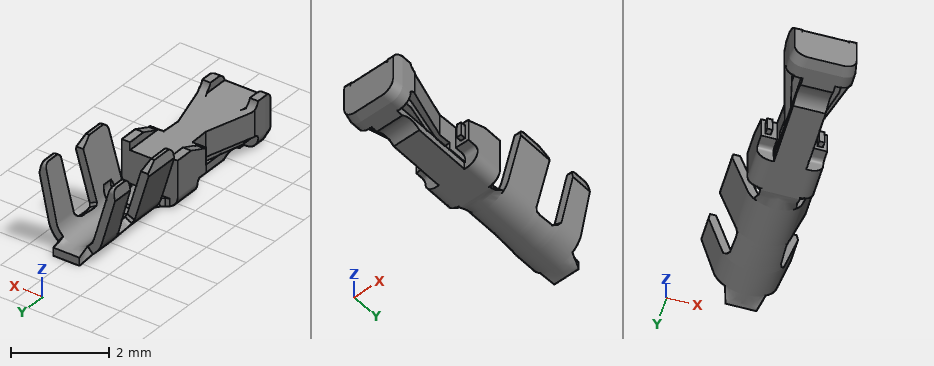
import cadquery as cq
import math


sheet = 0.20
total_length = 6.20

box_length = 3.30
box_half_width = 0.703
box_corner_radius = 0.30
block_height = 1.0
wall_height = 1.19
wall_inner_half_width = 0.495
front_wall_inner_half_width = 0.44
nose_length = 0.24
nose_inset = 0.045
nose_top_radius = 0.24
front_wall_end = 0.50
front_wall_foot = 0.74
rear_wall_end = 2.31
rear_slope_foot = 2.36
rear_slope_top = 2.83

waist_rear_half_width = 0.363
waist_half_width = 0.344
waist_y = 1.83
flare_end_y = 0.75
flare_half_width = 0.66
shoulder_y = 0.62

lower_cut_start = 0.50
lower_cut_end = 2.60
lower_cut_height = 0.39
lower_cut_radius = 0.10
recess_end = 2.13
recess_bend_y = 1.87
recess_half_width = 0.22
recess_front_half_width = 0.50
arch_start = 0.66
arch_end = 1.19
arch_height = 0.095

pip_length = 0.125
pip_outer_half_width = 0.61
pip_bottom = 0.505
pip_top = 0.89

insulation_start = 5.29
insulation_end = 5.88
insulation_radius = 0.69
insulation_lean = 14.8
insulation_height = 1.85
insulation_taper_z = 1.589
insulation_tip_x = 0.90
insulation_rear_setback = 0.07
insulation_tip_radius = 0.13

conductor_start = 3.705
conductor_end = 4.607
conductor_radius = 0.607
conductor_lean = 16.6
conductor_height = 1.79
conductor_taper_z = 1.547
conductor_tip_x = 0.86
conductor_tip_radius = 0.18
conductor_chamfer_length = 0.28
conductor_chamfer_height = 0.18

groove_center = 4.15
groove_bottom_width = 0.25
groove_top_width = 0.34
groove_depth = 0.047

tail_half_width = 0.329
tail_root_angle = 39
link_front_root_angle = 68
link_rear_root_angle = 67
link_step_angle = 60
link_front_angle = 57
link_rear_angle = 54
link_step_offset = 0.05
link_low_offset = 0.15
joint_half_width = 0.42
joint_flare_half_width = 0.50
joint_flare_length = 0.04
joint_bend_y = 3.50
joint_bend_radius = 1.20
joint_bend_angle = 20
joint_root_angle = 48

overlap = 0.02
big = 10.0


def on_plane_y(y):
    """Sketch plane at distance y along the part, local axes equal to global X and Z."""
    return cq.Workplane(cq.Plane(origin=(0, y, 0), xDir=(1, 0, 0), normal=(0, -1, 0)))


def side_prism(sketch):
    """Extrude a closed Y-Z sketch across the whole width."""
    return sketch.extrude(big / 2, both=True)


def box_between(x0, x1, y0, y1, z0, z1):
    return cq.Workplane("XY").box(x1 - x0, y1 - y0, z1 - z0, centered=False).translate((x0, y0, z0))


def mirrored_pair(solid):
    return solid.union(solid.mirror("YZ"))


def box_section(y, inset):
    """Square-topped section with two round lower corners."""
    half = box_half_width - inset
    r = box_corner_radius
    diagonal = r * (1 - math.sqrt(0.5))
    return (
        on_plane_y(y)
        .moveTo(-half, wall_height)
        .lineTo(-half, inset + r)
        .threePointArc((-half + diagonal, inset + diagonal), (-half + r, inset))
        .lineTo(half - r, inset)
        .threePointArc((half - diagonal, inset + diagonal), (half, inset + r))
        .lineTo(half, wall_height)
        .close()
    )


def loft_between(first, second):
    wires = [first.wires().val(), second.wires().val()]
    return cq.Workplane(cq.Solid.makeLoft(wires, True))


def box_side_outline():
    """Side profile with the raised front and rear wall tops."""
    arc_mid = nose_top_radius * (1 - math.sqrt(0.5))
    outline = (
        cq.Workplane("YZ")
        .moveTo(box_length, 0)
        .lineTo(box_length, wall_height)
        .lineTo(rear_slope_top, wall_height)
        .lineTo(rear_slope_foot, block_height)
        .lineTo(front_wall_foot, block_height)
        .tangentArcPoint((front_wall_end, wall_height), relative=False)
        .lineTo(nose_top_radius, wall_height)
        .threePointArc((arc_mid, wall_height - arc_mid), (0, wall_height - nose_top_radius))
        .lineTo(0, 0)
        .close()
    )
    return side_prism(outline)


def nose_core():
    """Square upper front edge of the block between the rounded front walls."""
    half = wall_inner_half_width
    return box_between(-half, half, 0, nose_length, box_corner_radius, block_height)


def waist_cut():
    """Material removed beside the waist on the +X side, full height."""
    outline = (
        cq.Workplane("XY")
        .moveTo(big, rear_wall_end)
        .lineTo(waist_rear_half_width, rear_wall_end)
        .lineTo(waist_half_width, waist_y)
        .lineTo(flare_half_width, flare_end_y)
        .lineTo(box_half_width, shoulder_y)
        .lineTo(big, shoulder_y)
        .close()
    )
    return outline.extrude(wall_height)


def lower_edge_cut():
    """Clearance on the +X side, beside the floor strip and under the waist above it."""
    floor_side = box_between(waist_half_width, big, lower_cut_start, lower_cut_end, -overlap, sheet)
    outline = (
        cq.Workplane("XY", origin=(0, 0, sheet))
        .moveTo(big, lower_cut_end)
        .lineTo(waist_rear_half_width, lower_cut_end)
        .lineTo(waist_rear_half_width, recess_end)
        .lineTo(recess_half_width, recess_end)
        .lineTo(recess_half_width, recess_bend_y)
        .lineTo(recess_front_half_width, flare_end_y)
        .lineTo(recess_front_half_width, lower_cut_start)
        .lineTo(big, lower_cut_start)
        .close()
    )
    under_waist = outline.extrude(lower_cut_height - sheet)
    window = box_between(0, big, lower_cut_start, lower_cut_end, -overlap, lower_cut_height)
    window = window.edges("|X and >Z").fillet(lower_cut_radius)
    return floor_side.union(under_waist).intersect(window)


def top_channel():
    """Space between the raised wall tops, narrowing with the flare behind the front walls."""
    outline = (
        cq.Workplane("XY", origin=(0, 0, block_height))
        .moveTo(0, -overlap)
        .lineTo(wall_inner_half_width, -overlap)
        .lineTo(wall_inner_half_width, shoulder_y)
        .lineTo(front_wall_inner_half_width, flare_end_y)
        .lineTo(wall_inner_half_width, flare_end_y)
        .lineTo(wall_inner_half_width, box_length + overlap)
        .lineTo(0, box_length + overlap)
        .close()
    )
    return mirrored_pair(outline.extrude(wall_height))


def floor_arch():
    outline = (
        cq.Workplane("YZ")
        .moveTo(arch_start, 0)
        .threePointArc(((arch_start + arch_end) / 2, arch_height), (arch_end, 0))
        .close()
    )
    return side_prism(outline)


def contact_box():
    nose = loft_between(box_section(0, nose_inset), box_section(nose_length, 0))
    body = box_section(nose_length, 0).extrude(nose_length - box_length)
    body = body.union(nose).intersect(box_side_outline())
    body = body.cut(top_channel()).union(nose_core())
    body = body.cut(mirrored_pair(waist_cut()))
    body = body.cut(mirrored_pair(lower_edge_cut()))
    body = body.cut(floor_arch())
    pip = box_between(
        wall_inner_half_width, pip_outer_half_width,
        rear_wall_end - pip_length, rear_wall_end + overlap,
        pip_bottom, pip_top,
    )
    return body.union(mirrored_pair(pip))


def barrel_profile(y, radius, lean, height, taper_z, tip_x):
    """U section: round floor, straight leaning wings, outside thinned at the tips."""
    cos_lean = math.cos(math.radians(lean))
    sin_lean = math.sin(math.radians(lean))
    slope = sin_lean / cos_lean
    inner = radius - sheet
    outer_x = radius * cos_lean
    outer_z = radius * (1 - sin_lean)
    inner_x = inner * cos_lean
    inner_z = radius - inner * sin_lean
    taper_x = outer_x + (taper_z - outer_z) * slope
    tip_inner_x = inner_x + (height - inner_z) * slope
    return (
        on_plane_y(y)
        .moveTo(-outer_x, outer_z)
        .threePointArc((0, 0), (outer_x, outer_z))
        .lineTo(taper_x, taper_z)
        .lineTo(tip_x, height)
        .lineTo(tip_inner_x, height)
        .lineTo(inner_x, inner_z)
        .threePointArc((0, sheet), (-inner_x, inner_z))
        .lineTo(-tip_inner_x, height)
        .lineTo(-tip_x, height)
        .lineTo(-taper_x, taper_z)
        .close()
    )


def insulation_barrel():
    barrel = barrel_profile(
        insulation_start, insulation_radius, insulation_lean,
        insulation_height, insulation_taper_z, insulation_tip_x,
    ).extrude(insulation_start - insulation_end)
    lean_foot_z = insulation_radius * (1 - math.sin(math.radians(insulation_lean)))
    outline = side_prism(
        cq.Workplane("YZ")
        .moveTo(insulation_start, 0)
        .lineTo(insulation_start, insulation_height)
        .lineTo(insulation_end - insulation_rear_setback, insulation_height)
        .lineTo(insulation_end, lean_foot_z)
        .lineTo(insulation_end, 0)
        .close()
    )
    return barrel.intersect(outline.edges("|X and >Z").fillet(insulation_tip_radius))


def serration_groove():
    inner = conductor_radius - sheet
    half_bottom = groove_bottom_width / 2
    half_top = groove_top_width / 2
    outline = (
        cq.Workplane("YZ", origin=(0, groove_center, conductor_radius))
        .moveTo(-half_top, 0)
        .lineTo(-half_top, -inner)
        .lineTo(-half_bottom, -inner - groove_depth)
        .lineTo(half_bottom, -inner - groove_depth)
        .lineTo(half_top, -inner)
        .lineTo(half_top, 0)
        .close()
    )
    return outline.revolve(360, (0, 0, 0), (1, 0, 0))


def conductor_barrel():
    barrel = barrel_profile(
        conductor_start, conductor_radius, conductor_lean,
        conductor_height, conductor_taper_z, conductor_tip_x,
    ).extrude(conductor_start - conductor_end)
    tip_mid = conductor_tip_radius * (1 - math.sqrt(0.5))
    outline = side_prism(
        cq.Workplane("YZ")
        .moveTo(conductor_start, 0)
        .lineTo(conductor_start, conductor_height - conductor_tip_radius)
        .threePointArc(
            (conductor_start + tip_mid, conductor_height - tip_mid),
            (conductor_start + conductor_tip_radius, conductor_height),
        )
        .lineTo(conductor_end - conductor_chamfer_length, conductor_height)
        .lineTo(conductor_end, conductor_height - conductor_chamfer_height)
        .lineTo(conductor_end, 0)
        .close()
    )
    return barrel.intersect(outline).cut(serration_groove())


def trough_section(y, radius, half_angle):
    """Curved sheet section reaching half_angle degrees either side of the bottom, edges radial."""
    sin_a = math.sin(math.radians(half_angle))
    cos_a = math.cos(math.radians(half_angle))
    inner = radius - sheet
    return (
        on_plane_y(y)
        .moveTo(-radius * sin_a, radius - radius * cos_a)
        .threePointArc((0, 0), (radius * sin_a, radius - radius * cos_a))
        .lineTo(inner * sin_a, radius - inner * cos_a)
        .threePointArc((0, sheet), (-inner * sin_a, radius - inner * cos_a))
        .close()
    )


def flat_section(y, half_width):
    return (
        on_plane_y(y)
        .moveTo(-half_width, 0)
        .lineTo(half_width, 0)
        .lineTo(half_width, sheet)
        .lineTo(-half_width, sheet)
        .close()
    )


def loft_chain(sections):
    strip = loft_between(sections[0], sections[1])
    for first, second in zip(sections[1:], sections[2:]):
        strip = strip.union(loft_between(first, second))
    return strip


def tail():
    root = trough_section(insulation_end, insulation_radius, tail_root_angle)
    return loft_between(root, flat_section(total_length, tail_half_width))


def barrel_link():
    """Tapering trough between the barrels; its edges rise in steps to meet the wings."""
    gap = insulation_start - conductor_end
    growth = (insulation_radius - conductor_radius) / gap
    stations = (
        (0, link_front_root_angle),
        (link_step_offset, link_step_angle),
        (link_low_offset, link_front_angle),
        (gap - link_low_offset, link_rear_angle),
        (gap - link_step_offset, link_step_angle),
        (gap, link_rear_root_angle),
    )
    return loft_chain([
        trough_section(conductor_end + offset, conductor_radius + growth * offset, angle)
        for offset, angle in stations
    ])


def box_link():
    """Trough flattening out from the conductor barrel to the contact box floor."""
    return loft_chain([
        flat_section(box_length, joint_flare_half_width),
        flat_section(box_length + joint_flare_length, joint_half_width),
        trough_section(joint_bend_y, joint_bend_radius, joint_bend_angle),
        trough_section(conductor_start, conductor_radius, joint_root_angle),
    ])


result = (
    contact_box()
    .union(box_link())
    .union(conductor_barrel())
    .union(barrel_link())
    .union(insulation_barrel())
    .union(tail())
)